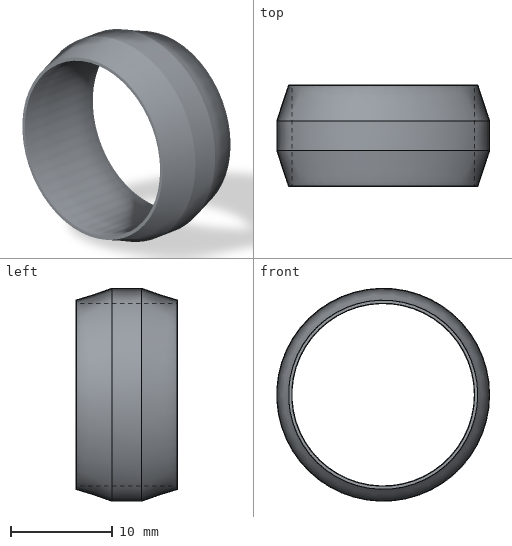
import cadquery as cq

bore_radius = 9.0
crown_radius = 10.5
rim_radius = 9.33
half_width = 5.0
half_band = 1.45

section = (
    cq.Workplane("XY")
    .moveTo(bore_radius, -half_width)
    .lineTo(rim_radius, -half_width)
    .lineTo(crown_radius, -half_band)
    .lineTo(crown_radius, half_band)
    .lineTo(rim_radius, half_width)
    .lineTo(bore_radius, half_width)
    .close()
)

result = section.revolve(360, (0, 0, 0), (0, 1, 0))